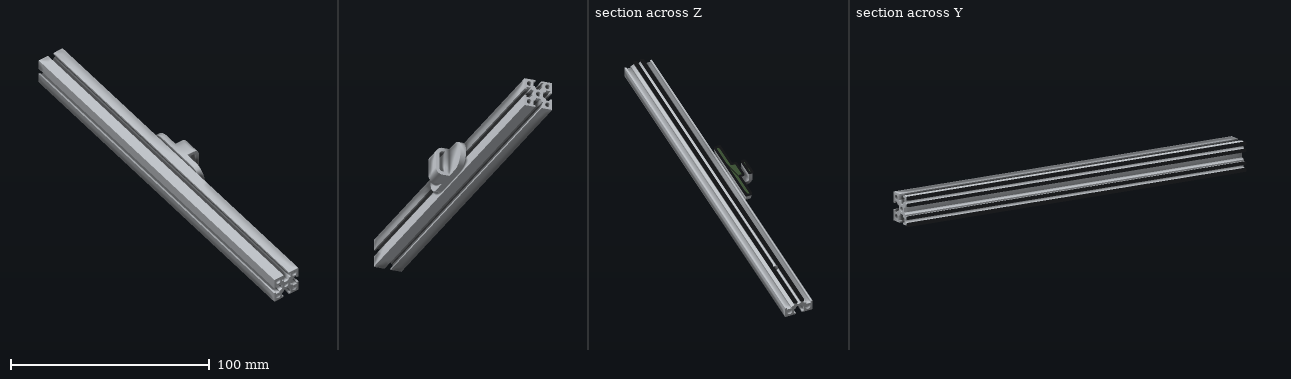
import cadquery as cq

rail_length = 200.0
rail_size = 15.0
slot_opening = 3.5
slot_cavity = 5.5
lip_thickness = 0.9
slot_depth = 5.0
cavity_depth = 3.5
slot_shoulder = 4.0
slot_floor = 2.5
core_diameter = 2.5
corner_diameter = 2.5
corner_inset = 2.5
cross_hole_diameter = 3.2
cross_hole_x = 170.5

bracket_x = 95.5
bracket_lift = 0.5
bracket_gap = 0.8
plate_length = 40.0
plate_height = 15.0
plate_thickness = 3.0
loop_width = 10.2
loop_reach = 11.0
loop_corner_radius = 3.5
window_wall = 1.9
window_depth = 3.0
window_corner_radius = loop_corner_radius - window_wall

half_rail = rail_size / 2


def slot_cutter(turn):
    """T-slot open towards +Z, with a tapered bottom, turned about the X axis."""
    half_opening = slot_opening / 2
    half_cavity = slot_cavity / 2
    half_floor = slot_floor / 2
    lip_z = half_rail - lip_thickness
    floor_z = half_rail - slot_depth
    back_z = half_rail - cavity_depth
    right_side = [
        (half_opening, half_rail),
        (half_opening, lip_z),
        (half_cavity, lip_z),
        (half_cavity, back_z),
        (slot_shoulder / 2, back_z),
        (half_floor, floor_z),
    ]
    left_side = [(-y, z) for y, z in reversed(right_side)]
    slot = cq.Workplane("YZ").polyline(right_side + left_side).close().extrude(rail_length)
    return slot.rotate((0, 0, 0), (1, 0, 0), turn)


def make_rail():
    """Square bar with a T-slot in each side, five bores along it and one vertical hole."""
    rail = cq.Workplane("YZ").rect(rail_size, rail_size).extrude(rail_length)

    for turn in (0, 90, 180, 270):
        rail = rail.cut(slot_cutter(turn))

    core = cq.Workplane("YZ").circle(core_diameter / 2).extrude(rail_length)
    corner_pitch = rail_size - 2 * corner_inset
    corners = (
        cq.Workplane("YZ")
        .rect(corner_pitch, corner_pitch, forConstruction=True)
        .vertices()
        .circle(corner_diameter / 2)
        .extrude(rail_length)
    )

    cross_hole = (
        cq.Workplane("XY")
        .center(cross_hole_x, 0)
        .circle(cross_hole_diameter / 2)
        .extrude(half_rail, both=True)
    )
    return rail.cut(core).cut(corners).cut(cross_hole)


def make_bracket():
    """Upright plate with full-round ends and a windowed loop on its back."""
    plate_front = half_rail + bracket_gap
    plate_back = plate_front + plate_thickness
    loop_back = half_rail + loop_reach

    plate = (
        cq.Workplane("XZ", origin=(bracket_x, plate_back, bracket_lift))
        .slot2D(plate_length, plate_height)
        .extrude(plate_thickness)
    )

    loop_depth = loop_back - plate_front
    loop = (
        cq.Workplane("XY")
        .box(loop_width, loop_depth, plate_height)
        .edges(">Y and |X")
        .fillet(loop_corner_radius)
        .translate((bracket_x, plate_front + loop_depth / 2, bracket_lift))
    )

    window_y = loop_back - window_wall - window_depth / 2
    window = (
        cq.Workplane("XY")
        .box(loop_width, window_depth, plate_height - 2 * window_wall)
        .edges(">Y and |X")
        .fillet(window_corner_radius)
        .translate((bracket_x, window_y, bracket_lift))
    )
    return plate.union(loop).cut(window)


rail = make_rail()
bracket = make_bracket()
result = cq.Compound.makeCompound([rail.val(), bracket.val()])